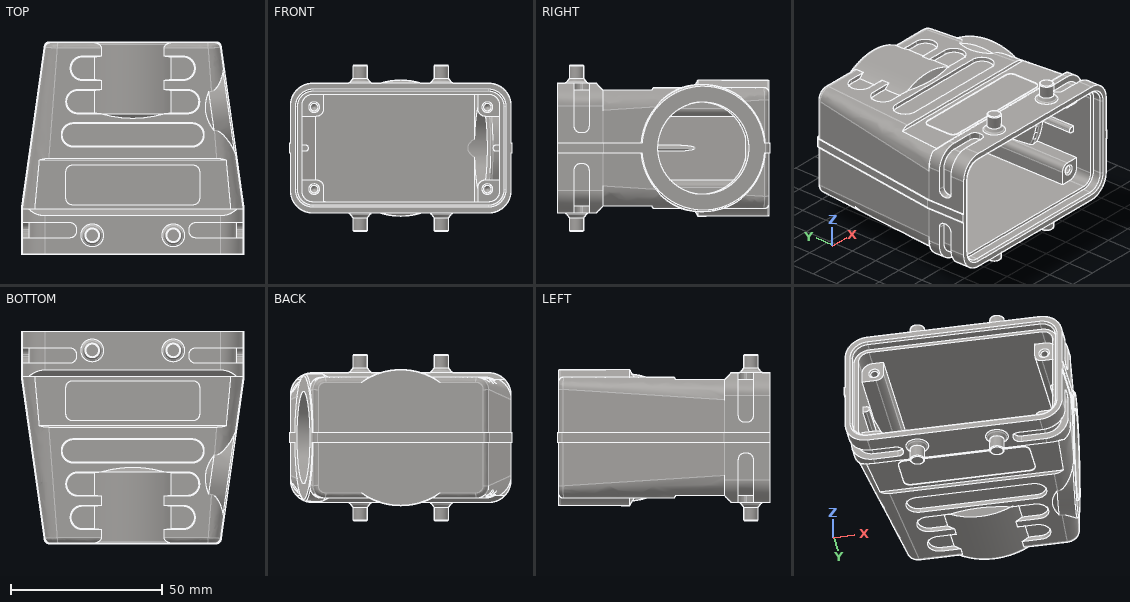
import cadquery as cq
import math


flange_half_x = 36.5
flange_half_z = 21.5
flange_radius = 7.5
flange_depth = 15.0
bevel_depth = 2.2

back_y = 70.0
hood_half_z = 20.0
back_radius = 4.0
wall_angle = math.radians(8)
wall_slope = math.tan(wall_angle)
back_half_x = flange_half_x - (back_y - flange_depth) * wall_slope
back_fillet = 1.8

panel_half_z = 19.2
panel_end = 31.2
panel_step_run = 0.5
label_width = 44.3
label_height = 13.1
label_y = 23.0
label_radius = 2.2
label_depth = 0.2

grip_recesses = [(39.5, 47.25), (50.5, 44.3), (61.5, 41.4)]
grip_width = 8.0
grip_floor_z = 18.7
grip_draft = 12

ridge_height = 0.3
ridge_half_z = 1.6

end_boss_radius = 22.5
end_boss_start = 46.45
end_boss_cone_drop = 2.5
end_boss_cone_run = 1.5
end_boss_rim_run = 0.6
end_boss_rim_drop = 0.15

entry_x = 26.35
entry_y = 47.4
entry_diameter = 30.5
entry_boss_radius = 21.05
entry_boss_start = -0.4
entry_cone_length = 3.8
entry_cone_drop = 2.05
entry_pad_start = 0.15
entry_pad_radius = 23.85
entry_pad_fillet = 0.65
entry_rim_chamfer = 0.6
entry_reach = 22.1

seat_half_x = 34.15
seat_half_z = 18.85
seat_radius = 5.15
seat_depth = 3.5
seat_bevel = 0.65
cavity_half_x = 32.7
cavity_half_z = 17.75
cavity_radius = 3.5
cavity_end = 62.2
cavity_end_half_x = 28.2
cavity_straight_end = cavity_end - (cavity_half_x - cavity_end_half_x) / wall_slope

wall_overlap = 0.7
post_start = 9.65
post_width = 7.2
post_inner_z = 10.5
post_radius = 2.5
screw_x = 28.6
screw_z = 13.55
screw_diameter = 2.5
screw_mouth_diameter = 3.5
screw_depth = 11.05
drill_point_angle = math.radians(31)
drill_point_length = screw_diameter / 2 * math.tan(drill_point_angle)

rib_start = 10.9
rib_half_width = 1.0
rib_tip_radius = 0.95
rib_tip_x = 30.55

pin_x = 13.4
pin_y = 6.3
pin_diameter = 4.8
pin_span = 55.0
pin_tip_z = pin_span / 2
pin_tip_chamfer = 0.3
pin_root = 0.7
collar_base_diameter = 7.5
collar_diameter = 6.5
collar_base_height = 0.45
collar_height = 1.55

slot_y = 8.0
slot_width = 5.0
slot_depth = 2.3
slot_end_radius = 2.2
slot_end_x = 18.55
slot_end_z = 5.1


def rounded_wire(y, half_x, half_z, radius):
    """Rounded rectangle in the plane at the given y."""
    sketch = cq.Sketch().rect(2 * half_x, 2 * half_z).vertices().fillet(radius)
    plane = cq.Plane(origin=(0, y, 0), xDir=(1, 0, 0), normal=(0, -1, 0))
    return cq.Workplane(plane).placeSketch(sketch).extrude(-0.7).faces("<Y").wires().val()


def loft(*sections):
    """Straight-sided solid through rounded rectangles given as (y, half_x, half_z, radius)."""
    wires = [rounded_wire(*section) for section in sections]
    return cq.Workplane(obj=cq.Solid.makeLoft(wires, True))


def straight_prism(start_y, end_y, half_x, half_z, radius):
    """Rounded rectangle extruded along y."""
    return loft((start_y, half_x, half_z, radius), (end_y, half_x, half_z, radius))


def both_sides(shape, plane):
    """The shape joined with its mirror image."""
    return shape.union(shape.mirror(plane))


def four_corners(shape):
    return both_sides(both_sides(shape, "YZ"), "XY")


def block(x_range, y_range, z_range):
    size = [high - low for low, high in (x_range, y_range, z_range)]
    return cq.Workplane().box(*size, centered=False).translate((x_range[0], y_range[0], z_range[0]))


def revolve_about_y(profile):
    """Solid of revolution about the Y axis from (radius, y) points."""
    return cq.Workplane().polyline(profile).close().revolve(360, (0, 0), (0, 1))


def make_flange():
    flange = straight_prism(0, flange_depth, flange_half_x, flange_half_z, flange_radius)
    bevel = (
        cq.Workplane("YZ")
        .moveTo(flange_depth, panel_half_z)
        .lineTo(flange_depth, flange_half_z)
        .lineTo(flange_depth - bevel_depth, flange_half_z)
        .close()
        .extrude(flange_half_x, both=True)
    )
    return flange.cut(both_sides(bevel, "XY"))


def make_hood():
    hood = loft(
        (flange_depth, flange_half_x, hood_half_z, flange_radius),
        (back_y, back_half_x, hood_half_z, back_radius),
    )
    hood = hood.faces(">Y").edges().fillet(back_fillet)
    panel = (
        cq.Workplane("YZ")
        .moveTo(flange_depth, panel_half_z)
        .lineTo(panel_end, panel_half_z)
        .lineTo(panel_end + panel_step_run, hood_half_z)
        .lineTo(flange_depth, hood_half_z)
        .close()
        .extrude(flange_half_x, both=True)
    )
    label = (
        cq.Workplane(origin=(0, label_y, panel_half_z - label_depth))
        .rect(label_width, label_height)
        .extrude(label_depth)
        .edges("|Z")
        .fillet(label_radius)
    )
    recesses = panel.union(label)
    for y, length in grip_recesses:
        recess = (
            cq.Workplane(origin=(0, y, hood_half_z))
            .slot2D(length, grip_width)
            .extrude(grip_floor_z - hood_half_z, taper=grip_draft)
        )
        recesses = recesses.union(recess)
    return hood.cut(both_sides(recesses, "XY"))


def plan_plate(half_z):
    """Plan outline of the part, one ridge height outside the walls, centered on z = 0."""
    front_x = flange_half_x + ridge_height
    end_x = back_half_x + ridge_height * (1 - wall_slope)
    outline = [
        (-front_x, 0),
        (front_x, 0),
        (front_x, flange_depth + ridge_height),
        (end_x, back_y + ridge_height),
        (-end_x, back_y + ridge_height),
        (-front_x, flange_depth + ridge_height),
    ]
    plate = cq.Workplane().polyline(outline).close().extrude(half_z, both=True)
    return plate.edges("|Z and >Y").fillet(back_fillet)


def make_end_boss():
    neck_radius = end_boss_radius - end_boss_cone_drop
    profile = [
        (0, end_boss_start - end_boss_cone_run),
        (neck_radius, end_boss_start - end_boss_cone_run),
        (end_boss_radius, end_boss_start),
        (end_boss_radius, back_y - end_boss_rim_run),
        (end_boss_radius - end_boss_rim_drop, back_y),
        (0, back_y),
    ]
    return revolve_about_y(profile)


def entry_turned(profile):
    """Solid of revolution about the entry axis from (radius, distance along the axis) points."""
    turned = revolve_about_y(profile).rotate((0, 0, 0), (0, 0, 1), math.degrees(wall_angle) - 90)
    return turned.translate((entry_x, entry_y, 0))


def make_entry_boss():
    cone_start = entry_boss_start - entry_cone_length
    wall_gap_x = flange_half_x + ridge_height - entry_x
    wall_gap_y = flange_depth + ridge_height - entry_y
    rim = wall_gap_x * math.cos(wall_angle) + wall_gap_y * math.sin(wall_angle)
    boss = entry_turned([
        (0, cone_start),
        (entry_boss_radius - entry_cone_drop, cone_start),
        (entry_boss_radius, entry_boss_start),
        (entry_boss_radius, rim - entry_rim_chamfer),
        (entry_boss_radius - entry_rim_chamfer, rim),
        (0, rim),
    ])
    return boss.intersect(plan_plate(flange_half_z))


def make_entry_pad():
    """Thickened wall around the entry, inside the cavity."""
    pad = entry_turned([
        (0, entry_pad_start),
        (entry_pad_radius, entry_pad_start),
        (entry_pad_radius, entry_reach),
        (0, entry_reach),
    ])
    return pad.faces("<X").edges().fillet(entry_pad_fillet)


def make_entry_hole():
    radius = entry_diameter / 2
    return entry_turned([
        (0, -entry_reach),
        (radius, -entry_reach),
        (radius, entry_reach),
        (0, entry_reach),
    ])


def make_posts():
    post = block(
        (cavity_half_x - post_width, cavity_half_x + wall_overlap),
        (post_start, cavity_end),
        (post_inner_z, cavity_half_z + wall_overlap),
    )
    post = post.edges("|Y and <X and <Z").fillet(post_radius)
    return four_corners(post)


def make_ribs():
    rib = block(
        (rib_tip_x, cavity_half_x + wall_overlap),
        (rib_start, cavity_end),
        (-rib_half_width, rib_half_width),
    )
    rib = rib.edges("|Y and <X").fillet(rib_tip_radius)
    return both_sides(rib, "YZ")


def make_cavity():
    rim = loft(
        (0, seat_half_x + seat_bevel, seat_half_z + seat_bevel, seat_radius + seat_bevel),
        (seat_bevel, seat_half_x, seat_half_z, seat_radius),
    )
    seat = straight_prism(seat_bevel, seat_depth, seat_half_x, seat_half_z, seat_radius)
    front = straight_prism(0, cavity_straight_end, cavity_half_x, cavity_half_z, cavity_radius)
    rear = loft(
        (cavity_straight_end, cavity_half_x, cavity_half_z, cavity_radius),
        (cavity_end, cavity_end_half_x, cavity_half_z, cavity_radius),
    )
    chamber = front.union(rear)
    chamber = chamber.cut(make_entry_pad()).cut(make_posts()).cut(make_ribs())
    return rim.union(seat).union(chamber)


def make_screw_holes():
    radius = screw_diameter / 2
    mouth_radius = screw_mouth_diameter / 2
    profile = [
        (0, post_start),
        (mouth_radius, post_start),
        (radius, post_start + mouth_radius - radius),
        (radius, post_start + screw_depth),
        (0, post_start + screw_depth + drill_point_length),
    ]
    hole = revolve_about_y(profile)
    return four_corners(hole.translate((screw_x, 0, screw_z)))


def make_pins():
    radius = pin_diameter / 2
    root_z = flange_half_z - pin_root
    profile = [
        (0, root_z),
        (collar_base_diameter / 2, root_z),
        (collar_base_diameter / 2, flange_half_z),
        (collar_diameter / 2, flange_half_z + collar_base_height),
        (radius, flange_half_z + collar_height),
        (radius, pin_tip_z - pin_tip_chamfer),
        (radius - pin_tip_chamfer, pin_tip_z),
        (0, pin_tip_z),
    ]
    pin = cq.Workplane("XZ").polyline(profile).close().revolve(360, (0, 0), (0, 1))
    return four_corners(pin.translate((pin_x, pin_y, 0)))


def make_lever_slots():
    front = slot_y - slot_width / 2
    back = slot_y + slot_width / 2
    floor = straight_prism(
        front,
        back,
        flange_half_x - slot_depth,
        flange_half_z - slot_depth,
        flange_radius - slot_depth,
    )
    corner = block((slot_end_x, flange_half_x), (front, back), (slot_end_z, flange_half_z))
    corner = corner.edges("|Z and <X").fillet(slot_end_radius)
    corner = corner.edges("|X and <Z").fillet(slot_end_radius)
    return four_corners(corner).cut(floor)


hood = make_flange().union(make_hood()).union(make_end_boss()).union(make_entry_boss())
hood = hood.union(plan_plate(ridge_half_z))
hood = hood.cut(make_cavity()).cut(make_entry_hole()).cut(make_screw_holes())
result = hood.union(make_pins()).cut(make_lever_slots())